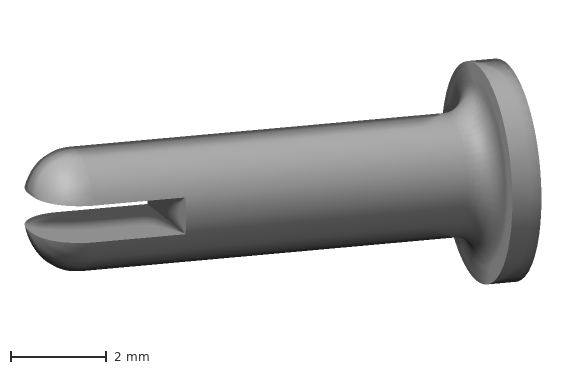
import cadquery as cq
import math

total_length = 10.46
head_diameter = 4.68
head_thickness = 0.64
shank_diameter = 2.6
neck_fillet = 0.61
tip_round = 0.99
slot_width = 0.8
slot_depth = 3.0

shank_radius = shank_diameter / 2
head_radius = head_diameter / 2
head_underside = -head_thickness
tip_flat_radius = shank_radius - tip_round
diagonal = math.sqrt(0.5)

slot_edge_offset = slot_width / 2 - tip_flat_radius
removed_tip = tip_round - math.sqrt(tip_round**2 - slot_edge_offset**2)
unslotted_length = total_length + removed_tip


def arc_midpoint(center_x, center_y, radius, side_x, side_y):
    """Point halfway along a quarter arc, in the diagonal direction given by the side signs."""
    return (center_x + side_x * radius * diagonal, center_y + side_y * radius * diagonal)


def make_pin():
    """Revolve the half profile of head, neck fillet, shank and rounded tip about Y."""
    neck_x = shank_radius + neck_fillet
    neck_y = head_underside - neck_fillet
    tip_y = tip_round - unslotted_length
    return (
        cq.Workplane("XY")
        .lineTo(head_radius, 0)
        .lineTo(head_radius, head_underside)
        .lineTo(neck_x, head_underside)
        .threePointArc(arc_midpoint(neck_x, neck_y, neck_fillet, -1, 1), (shank_radius, neck_y))
        .lineTo(shank_radius, tip_y)
        .threePointArc(
            arc_midpoint(tip_flat_radius, tip_y, tip_round, 1, -1),
            (tip_flat_radius, -unslotted_length),
        )
        .lineTo(0, -unslotted_length)
        .close()
        .revolve(360, (0, 0, 0), (0, 1, 0))
    )


def make_slot():
    """Slot across the full shank in X, open at the tip."""
    slot_bottom = slot_depth - total_length
    return (
        cq.Workplane("XY")
        .box(head_diameter, slot_bottom + unslotted_length, slot_width, centered=(True, False, True))
        .translate((0, -unslotted_length, 0))
    )


result = make_pin().cut(make_slot())